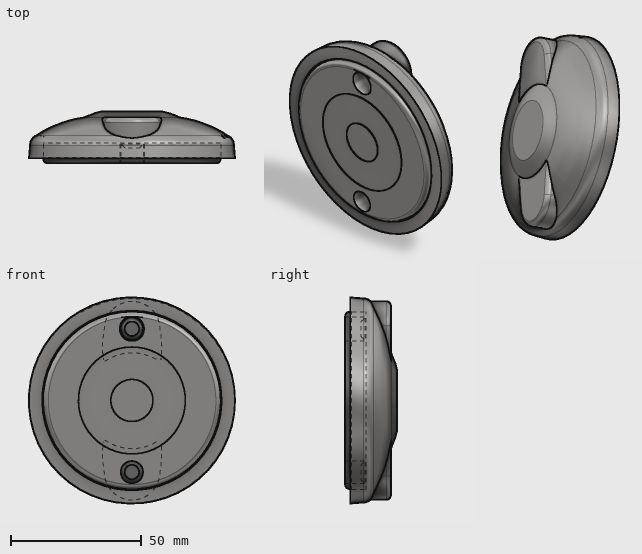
import cadquery as cq
import math


rim_radius = 39.5
skirt_radius = 39.1
skirt_height = 5.0
shoulder_radius = 36.5
shoulder_height = 8.8
shoulder_bulge = 0.7
dome_radius = 18.3
dome_height = 15.65
dome_bulge = 1.1
crown_radius = 11.7
crown_height = 17.9
crown_bulge = 0.2

recess_radius = 34.0
mouth_chamfer = 0.4
recess_depth = 6.0

lobe_offset = 27.4
lobe_radius = 10.6
waist_radius = 14.1
lozenge_fillet = 1.9

pin_radius = 4.3
pin_height = 2.0
pin_chamfer = 1.5

disc_radius = recess_radius
disc_protrusion = 2.0
disc_fillet = 1.9
wide_hole_radius = 4.7
snug_hole_radius = pin_radius
groove_outer_radius = 20.5
groove_inner_radius = 8.05
groove_depth = 0.2

lobe_sides = (1, -1)


def cylinder(radius, y_start, y_end, z=0.0):
    """Cylinder along Y between two heights, centred at x = 0 and the given z."""
    axis_start = cq.Vector(0, y_start, z)
    solid = cq.Solid.makeCylinder(radius, y_end - y_start, axis_start, cq.Vector(0, 1, 0))
    return cq.Workplane(obj=solid)


def arc_middle(start, end, bulge):
    """Middle of an arc that bulges to the right of its chord from start to end."""
    run = end[0] - start[0]
    rise = end[1] - start[1]
    chord = math.hypot(run, rise)
    middle_radius = (start[0] + end[0]) / 2 + bulge * rise / chord
    middle_height = (start[1] + end[1]) / 2 - bulge * run / chord
    return (middle_radius, middle_height)


def make_dome():
    """Solid of revolution with a drafted skirt, a rounded shoulder and a domed back."""
    skirt = (skirt_radius, skirt_height)
    shoulder = (shoulder_radius, shoulder_height)
    dome = (dome_radius, dome_height)
    crown = (crown_radius, crown_height)
    outline = (
        cq.Workplane("XY")
        .lineTo(rim_radius, 0)
        .lineTo(*skirt)
        .threePointArc(arc_middle(skirt, shoulder, shoulder_bulge), shoulder)
        .threePointArc(arc_middle(shoulder, dome, dome_bulge), dome)
        .threePointArc(arc_middle(dome, crown, crown_bulge), crown)
        .lineTo(0, crown_height)
        .close()
    )
    return outline.revolve(360, (0, 0, 0), (0, 1, 0))


def make_lozenge():
    """Two lobes joined by straight flanks that are tangent to the lobes and to a wider waist."""
    flank_slope = math.asin((waist_radius - lobe_radius) / lobe_offset)
    across = math.cos(flank_slope)
    along = math.sin(flank_slope)
    waist_x = waist_radius * across
    waist_z = waist_radius * along
    lobe_x = lobe_radius * across
    lobe_z = lobe_offset + lobe_radius * along
    lobe_tip = lobe_offset + lobe_radius

    outline = (
        cq.Workplane("XZ", origin=(0, recess_depth, 0))
        .moveTo(waist_x, waist_z)
        .lineTo(lobe_x, lobe_z)
        .threePointArc((0, lobe_tip), (-lobe_x, lobe_z))
        .lineTo(-waist_x, waist_z)
        .threePointArc((-waist_radius, 0), (-waist_x, -waist_z))
        .lineTo(-lobe_x, -lobe_z)
        .threePointArc((0, -lobe_tip), (lobe_x, -lobe_z))
        .lineTo(waist_x, -waist_z)
        .threePointArc((waist_radius, 0), (waist_x, waist_z))
        .close()
    )
    return outline.extrude(recess_depth - dome_height).faces(">Y").edges().fillet(lozenge_fillet)


def make_recess():
    """Round recess with a chamfered mouth."""
    recess = cylinder(recess_radius, 0, recess_depth)
    mouth = cq.Solid.makeCone(
        recess_radius + mouth_chamfer, recess_radius, mouth_chamfer, cq.Vector(0, 0, 0), cq.Vector(0, 1, 0)
    )
    return recess.union(cq.Workplane(obj=mouth))


def make_pin(z):
    """Locating pin with a chamfered tip that stands on the recess floor."""
    pin = cylinder(pin_radius, recess_depth - pin_height, recess_depth, z)
    return pin.faces("<Y").edges().chamfer(pin_chamfer)


def make_housing():
    housing = make_dome().union(make_lozenge()).cut(make_recess())
    for side in lobe_sides:
        housing = housing.union(make_pin(side * lobe_offset))
    return housing


def make_disc():
    """Cover disc with a rounded front edge, a shallow ring groove and a through hole for each pin."""
    front = -disc_protrusion
    disc = cylinder(disc_radius, front, recess_depth)
    disc = disc.faces("<Y").edges().fillet(disc_fillet)

    groove_floor = front + groove_depth
    groove = cylinder(groove_outer_radius, front, groove_floor)
    groove = groove.cut(cylinder(groove_inner_radius, front, groove_floor))
    disc = disc.cut(groove)

    for side, hole_radius in zip(lobe_sides, (wide_hole_radius, snug_hole_radius)):
        disc = disc.cut(cylinder(hole_radius, front, recess_depth, side * lobe_offset))
    return disc


housing = make_housing()
disc = make_disc()
result = cq.Compound.makeCompound([housing.solids().val(), disc.solids().val()])